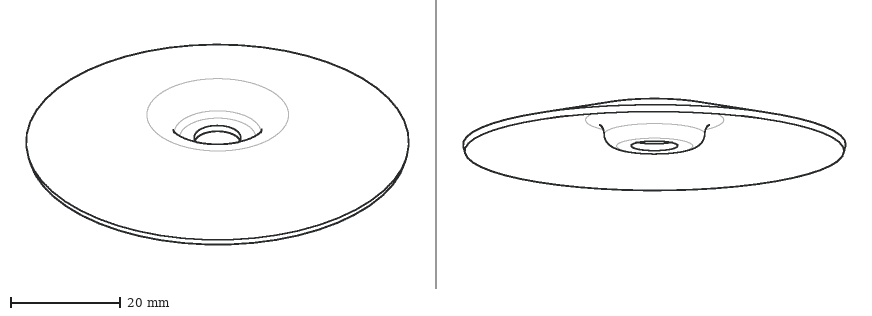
import cadquery as cq
import math

outer_diameter = 70.0
total_height = 7.2
sheet = 1.25
cone_angle = math.radians(14.9)
throat_outer_diameter = 18.4
hole_diameter = 8.5
mouth_radius = 4.0
seat_corner_radius = 1.0

throat_radius = throat_outer_diameter / 2 - sheet
hole_radius = hole_diameter / 2
rim_radius = outer_diameter / 2
mouth_center = (throat_radius + mouth_radius, total_height - mouth_radius)

corner_center = (throat_radius - seat_corner_radius, mouth_center[1])
seat_height = corner_center[1] - seat_corner_radius


def arc_point(center, radius, angle):
    return (center[0] + radius * math.cos(angle), center[1] + radius * math.sin(angle))


cone_normal = math.pi / 2 - cone_angle
mouth_middle = (cone_normal + math.pi) / 2
corner_middle = -math.pi / 4

flank_top = arc_point(mouth_center, mouth_radius, cone_normal)
rim_top = (rim_radius, flank_top[1] - (rim_radius - flank_top[0]) * math.tan(cone_angle))
rim_bottom = arc_point(rim_top, -sheet, cone_normal)

mouth_inner_radius = mouth_radius - sheet
corner_outer_radius = seat_corner_radius + sheet

profile = (
    cq.Workplane("XZ")
    .moveTo(hole_radius, seat_height)
    .lineTo(corner_center[0], seat_height)
    .threePointArc(
        arc_point(corner_center, seat_corner_radius, corner_middle),
        arc_point(corner_center, seat_corner_radius, 0),
    )
    .threePointArc(arc_point(mouth_center, mouth_radius, mouth_middle), flank_top)
    .lineTo(*rim_top)
    .lineTo(*rim_bottom)
    .lineTo(*arc_point(mouth_center, mouth_inner_radius, cone_normal))
    .threePointArc(
        arc_point(mouth_center, mouth_inner_radius, mouth_middle),
        arc_point(mouth_center, mouth_inner_radius, math.pi),
    )
    .threePointArc(
        arc_point(corner_center, corner_outer_radius, corner_middle),
        arc_point(corner_center, corner_outer_radius, -math.pi / 2),
    )
    .lineTo(hole_radius, seat_height - sheet)
    .close()
)

result = profile.revolve(360, (0, 0, 0), (0, 1, 0))